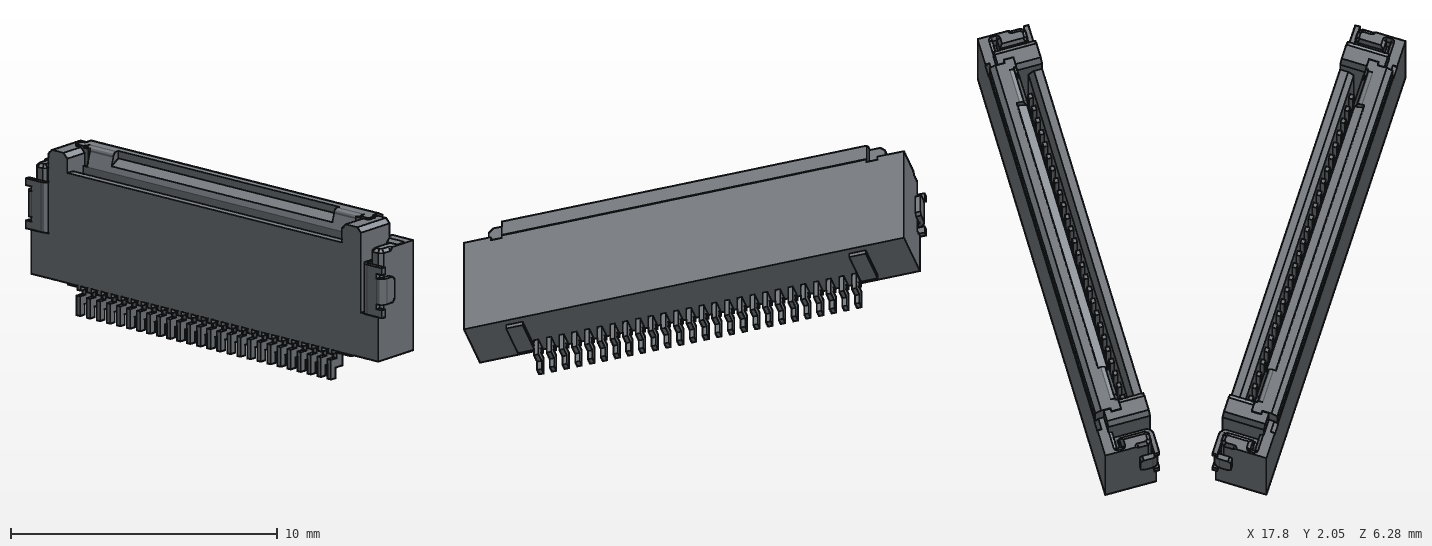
import cadquery as cq

OVERALL_WIDTH = 17.75
OVERALL_DEPTH = 2.05
OVERALL_HEIGHT = 6.28

BODY_WIDTH = 17.3
BODY_FRONT = 0.05
BODY_BOTTOM = 1.15
BODY_TOP = 5.46
TOWER_HALF_WIDTH = 7.79
TOWER_BACK = 1.68
TOWER_TOP = 6.21
TOWER_CHAMFER = 0.18
LID_HALF_WIDTH = 7.17
LID_BACK = 2.01
LID_CHAMFER_RUN = 0.23
LID_CHAMFER_DROP = 0.12
BACK_BEVEL_HALF_WIDTH = 7.6
BACK_BEVEL = 0.16
EAR_HALF_WIDTH = 7.3
EAR_INNER = 6.9
EAR_FRONT = 1.04
EAR_BACK = 1.42

MOUTH_HALF_WIDTH = 6.84
MOUTH_CHAMFER = 0.19
LID_SLOPE_HALF_WIDTH = 6.66
WALL_THICK_Y = 0.37
SLOT_FRONT = 0.59
SLOT_BACK = 0.96
SLOT_FLOOR = 2.5
WALL_CHAMFER_DROP = 0.22
SLOPE_BOTTOM = 5.53
SLOPE_TOP_Y = 1.14
SLOPE_TOP_Z = 6.10
LIP_RADIUS = OVERALL_HEIGHT - SLOPE_TOP_Z
RAMP_HALF_WIDTH = 5.5
RAMP_BACK = 1.42
RAMP_TOP = 5.99
RAMP_BOTTOM = 5.72

PIN_COUNT = 26
PIN_PITCH = 0.5
PIN_WIDTH = 0.18
TAIL_BACK = 0.66
TAIL_LEG_FRONT = 0.33
TAIL_FOOT_BACK = 0.27
TAIL_STEP_BOTTOM = 0.41
TAIL_STEP_TOP = 0.77
COLLAR_BOTTOM = 0.98
CONTACT_FRONT = 0.6
CONTACT_BACK = 0.76
CONTACT_TOP = 4.5

PAD_INNER = 6.42
PAD_OUTER = 7.07
PAD_BACK = 1.8

CLIP_BOTTOM = 2.90
CLIP_TOP = 4.86
CLIP_THICK = 0.19
CLIP_WEB_INNER = 7.84
CLIP_WEB_OUTER = 7.98
CLIP_HOOK_OUTER = 8.43
CLIP_HOOK_FRONT = 1.39
CLIP_HOOK_BACK = 1.51
CLIP_CORNER = 0.27
CLIP_HOOK_GAP = 0.02
NOTCH_INNER = 8.60
NOTCH_BOTTOM = 3.21
NOTCH_TOP = 4.59
TAB_BOTTOM = 3.39
TAB_TOP = 4.40
TAB_DEPTH = 0.72
TAB_THICK = 0.2
TAB_CHAMFER = 0.11
TAB_BEND = 0.27
POST_INNER = 8.09
POST_FRONT = 0.22
POST_BACK = 1.35
POST_BEVEL_INNER = 0.12
POST_BEVEL_OUTER = 0.15
OUTER_LEDGE_BACK = 0.74
LEAD_IN = 0.13


def box(x0, x1, y0, y1, z0, z1):
    """Box between two opposite corners."""
    return cq.Workplane("XY").box(x1 - x0, y1 - y0, z1 - z0, centered=False).translate((x0, y0, z0))


def bar_along_x(profile, x0, x1):
    """Prism of a (y, z) profile running from x0 to x1."""
    return cq.Workplane("YZ").polyline(profile).close().extrude(x1 - x0).translate((x0, 0, 0))


def both_sides(solid):
    """The solid together with its mirror image in the YZ plane."""
    return solid.union(solid.mirror("YZ"))


def make_housing():
    """Body, raised tower and back lid, without slot or pockets."""
    half = BODY_WIDTH / 2
    body = box(-half, half, BODY_FRONT, OVERALL_DEPTH, BODY_BOTTOM, BODY_TOP)
    tower = box(-TOWER_HALF_WIDTH, TOWER_HALF_WIDTH, BODY_FRONT, TOWER_BACK, BODY_BOTTOM, TOWER_TOP)
    tower = tower.edges("|Y and >Z").chamfer(TOWER_CHAMFER)
    lid_profile = [
        (SLOPE_TOP_Y, BODY_BOTTOM),
        (LID_BACK, BODY_BOTTOM),
        (LID_BACK, OVERALL_HEIGHT - LID_CHAMFER_DROP),
        (LID_BACK - LID_CHAMFER_RUN, OVERALL_HEIGHT),
        (SLOPE_TOP_Y, OVERALL_HEIGHT),
    ]
    lid = bar_along_x(lid_profile, -LID_HALF_WIDTH, LID_HALF_WIDTH)
    bevel_profile = [
        (OVERALL_DEPTH, BODY_TOP),
        (OVERALL_DEPTH - BACK_BEVEL, BODY_TOP),
        (OVERALL_DEPTH, BODY_TOP - BACK_BEVEL),
    ]
    back_bevels = both_sides(bar_along_x(bevel_profile, LID_HALF_WIDTH, BACK_BEVEL_HALF_WIDTH))
    ears = both_sides(box(EAR_INNER, EAR_HALF_WIDTH, EAR_FRONT, EAR_BACK, BODY_TOP, OVERALL_HEIGHT))
    return body.union(tower).union(lid).union(ears).cut(back_bevels)


def make_slot_cutter():
    """Space removed for the cable slot, its lead-in faces and the ramp in the lid."""
    above = OVERALL_HEIGHT + 1
    mouth_profile = [
        (BODY_FRONT, BODY_TOP),
        (WALL_THICK_Y, BODY_TOP),
        (SLOT_FRONT, BODY_TOP - WALL_CHAMFER_DROP),
        (SLOT_FRONT, SLOT_FLOOR),
        (SLOT_BACK, SLOT_FLOOR),
        (SLOT_BACK, above),
        (BODY_FRONT, above),
    ]
    mouth = bar_along_x(mouth_profile, -MOUTH_HALF_WIDTH, MOUTH_HALF_WIDTH)
    corners = both_sides(
        box(LID_SLOPE_HALF_WIDTH, MOUTH_HALF_WIDTH, SLOT_BACK, EAR_FRONT, SLOPE_BOTTOM, above)
    )
    slope_profile = [
        (SLOT_BACK, SLOPE_BOTTOM),
        (SLOPE_TOP_Y, SLOPE_TOP_Z),
        (SLOPE_TOP_Y, above),
        (SLOT_BACK, above),
    ]
    slope = bar_along_x(slope_profile, -LID_SLOPE_HALF_WIDTH, LID_SLOPE_HALF_WIDTH)
    lip_edge = box(
        -MOUTH_HALF_WIDTH, MOUTH_HALF_WIDTH,
        SLOPE_TOP_Y, SLOPE_TOP_Y + LIP_RADIUS,
        SLOPE_TOP_Z, OVERALL_HEIGHT,
    )
    lip_round = (
        cq.Workplane("YZ", origin=(-MOUTH_HALF_WIDTH, 0, 0))
        .center(SLOPE_TOP_Y + LIP_RADIUS, SLOPE_TOP_Z)
        .circle(LIP_RADIUS)
        .extrude(2 * MOUTH_HALF_WIDTH)
    )
    lip = lip_edge.cut(lip_round)
    ramp_profile = [
        (SLOT_BACK, RAMP_BOTTOM),
        (RAMP_BACK, RAMP_TOP),
        (RAMP_BACK, above),
        (SLOT_BACK, above),
    ]
    ramp = bar_along_x(ramp_profile, -RAMP_HALF_WIDTH, RAMP_HALF_WIDTH)
    bevel = (
        cq.Workplane("XZ", origin=(0, EAR_FRONT, 0))
        .moveTo(MOUTH_HALF_WIDTH, TOWER_TOP)
        .lineTo(MOUTH_HALF_WIDTH + MOUTH_CHAMFER, TOWER_TOP)
        .lineTo(MOUTH_HALF_WIDTH, TOWER_TOP - MOUTH_CHAMFER)
        .close()
        .extrude(EAR_FRONT - BODY_FRONT)
    )
    return mouth.union(corners).union(slope).union(lip).union(ramp).union(both_sides(bevel))


def make_clip_pocket():
    """Space removed around the +X clip: a hooked channel past a bevelled post, flared at the top."""
    end = BODY_WIDTH / 2
    outside = end + LEAD_IN
    pocket_outer = CLIP_HOOK_OUTER + CLIP_HOOK_GAP
    pocket_back = CLIP_HOOK_BACK + CLIP_HOOK_GAP
    ahead = BODY_FRONT - LEAD_IN
    plan = [
        (TOWER_HALF_WIDTH, ahead),
        (TOWER_HALF_WIDTH, pocket_back),
        (pocket_outer, pocket_back),
        (pocket_outer, POST_BACK),
        (POST_INNER, POST_BACK),
        (POST_INNER, POST_FRONT + POST_BEVEL_INNER),
        (POST_INNER + POST_BEVEL_INNER, POST_FRONT),
        (end - POST_BEVEL_OUTER, POST_FRONT),
        (end, POST_FRONT + POST_BEVEL_OUTER),
        (end, OUTER_LEDGE_BACK),
        (outside, OUTER_LEDGE_BACK),
        (outside, ahead),
    ]
    channel = cq.Workplane("XY").polyline(plan).close().extrude(BODY_TOP - CLIP_BOTTOM)
    flare = cq.Workplane("XY").polyline(plan).close().extrude(LEAD_IN, taper=-45)
    channel = channel.translate((0, 0, CLIP_BOTTOM))
    flare = flare.translate((0, 0, BODY_TOP - LEAD_IN))
    clear_of_tower = box(TOWER_HALF_WIDTH, OVERALL_WIDTH, -OVERALL_DEPTH, OVERALL_DEPTH, 0, OVERALL_HEIGHT)
    return channel.union(flare).intersect(clear_of_tower)


def make_clip():
    """Bent sheet-metal hold-down on the +X side."""
    outer = OVERALL_WIDTH / 2
    web = box(CLIP_WEB_INNER, CLIP_WEB_OUTER, 0, CLIP_HOOK_BACK, CLIP_BOTTOM, CLIP_TOP)
    foot = box(CLIP_WEB_INNER, outer, 0, CLIP_THICK, CLIP_BOTTOM, CLIP_TOP)
    hook = box(CLIP_WEB_INNER, CLIP_HOOK_OUTER, CLIP_HOOK_FRONT, CLIP_HOOK_BACK, CLIP_BOTTOM, CLIP_TOP)
    clip = web.union(foot)
    clip = clip.edges("|Z and <X and <Y").fillet(CLIP_CORNER)
    clip = clip.union(hook)
    clip = clip.cut(box(NOTCH_INNER, outer, 0, CLIP_THICK, NOTCH_BOTTOM, NOTCH_TOP))
    tab_foot = box(CLIP_HOOK_OUTER, outer, 0, CLIP_THICK, TAB_BOTTOM, TAB_TOP)
    tab = box(outer - TAB_THICK, outer, 0, TAB_DEPTH, TAB_BOTTOM, TAB_TOP)
    tab = tab.edges("|X and >Y").chamfer(TAB_CHAMFER)
    tab = tab_foot.union(tab).edges("|Z and >X and <Y").fillet(TAB_BEND)
    return clip.union(tab)


def make_terminal(x):
    """Contact in the slot and stepped solder tail below the housing, centred at x."""
    x0 = x - PIN_WIDTH / 2
    x1 = x + PIN_WIDTH / 2
    tail_profile = [
        (0, 0),
        (TAIL_FOOT_BACK, 0),
        (TAIL_FOOT_BACK, TAIL_STEP_BOTTOM),
        (TAIL_BACK, TAIL_STEP_BOTTOM),
        (TAIL_BACK, BODY_BOTTOM),
        (BODY_FRONT, BODY_BOTTOM),
        (BODY_FRONT, COLLAR_BOTTOM),
        (TAIL_LEG_FRONT, COLLAR_BOTTOM),
        (TAIL_LEG_FRONT, TAIL_STEP_TOP),
        (0, TAIL_STEP_TOP),
    ]
    contact = box(x0, x1, CONTACT_FRONT, CONTACT_BACK, SLOT_FLOOR, CONTACT_TOP)
    return bar_along_x(tail_profile, x0, x1), contact


housing = make_housing().cut(make_slot_cutter()).cut(both_sides(make_clip_pocket()))
pads = both_sides(box(PAD_INNER, PAD_OUTER, TAIL_LEG_FRONT, PAD_BACK, COLLAR_BOTTOM, BODY_BOTTOM))
result = housing.union(pads).union(both_sides(make_clip()))

for index in range(PIN_COUNT):
    pin_x = (index - (PIN_COUNT - 1) / 2) * PIN_PITCH
    tail, contact = make_terminal(pin_x)
    result = result.union(tail).union(contact)